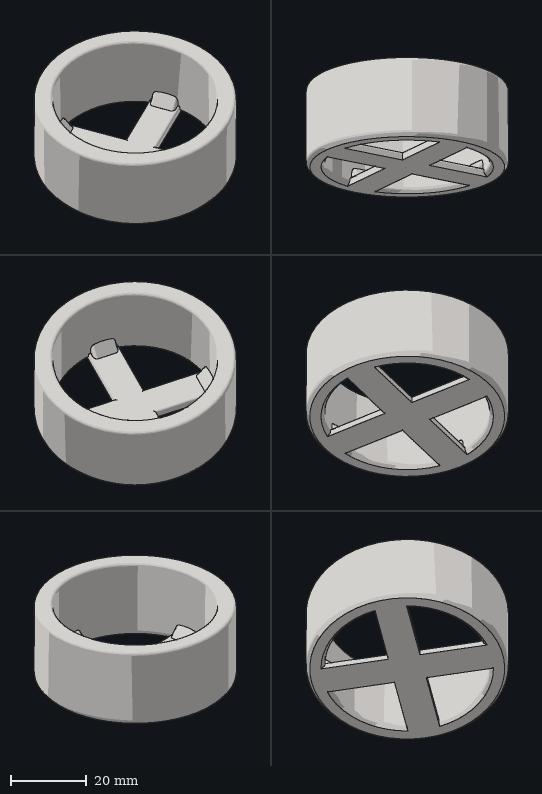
import cadquery as cq

outer_diameter = 53.5
inner_diameter = 43.5
ring_height = 22.0
edge_radius = 1.0
bottom_chamfer = 1.0

bar_width = 8.55
bar_thickness = 2.25
bar_edge_radius = 0.7

stop_width = bar_width - 2 * bar_edge_radius
stop_toe_radius = 18.8
stop_edge_radius = 1.0

outer_radius = outer_diameter / 2
inner_radius = inner_diameter / 2
anchor_radius = (outer_radius + inner_radius) / 2


def make_ring():
    """Ring with rounded top edges and softened chamfers around both bottom edges."""
    body = cq.Workplane("XY").circle(outer_radius).circle(inner_radius).extrude(ring_height)
    body = body.faces("<Z").edges().chamfer(bottom_chamfer)
    chamfer_tops = cq.selectors.BoxSelector(
        (-outer_diameter, -outer_diameter, bottom_chamfer / 2),
        (outer_diameter, outer_diameter, ring_height / 4),
    )
    body = body.edges("%CIRCLE").edges(chamfer_tops).fillet(edge_radius)
    return body.faces(">Z").edges().fillet(edge_radius)


def make_cross():
    """Two crossed flat bars with rounded upper edges."""
    bar_length = 2 * anchor_radius
    bar = cq.Workplane("XY").box(bar_length, bar_width, bar_thickness, centered=(True, True, False))
    cross = bar.union(bar.rotate((0, 0, 0), (0, 0, 1), 90)).clean()
    cross = cross.faces(">Z").edges().fillet(bar_edge_radius)
    limit = cq.Workplane("XY").circle(inner_radius + bottom_chamfer).extrude(bar_thickness)
    return cross.intersect(limit)


def make_stop():
    """45 degree wedge on the +X bar, with both edges of its slope rounded."""
    reach = anchor_radius - stop_toe_radius
    wedge = (
        cq.Workplane("XZ")
        .moveTo(stop_toe_radius, 0)
        .lineTo(stop_toe_radius, bar_thickness)
        .lineTo(anchor_radius, bar_thickness + reach)
        .lineTo(anchor_radius, 0)
        .close()
        .extrude(stop_width / 2, both=True)
    )
    slope_direction = cq.Vector(1, 0, 1)
    slope_edges = cq.selectors.ParallelDirSelector(slope_direction)
    wedge = wedge.edges(slope_edges).fillet(stop_edge_radius)
    above_bar = cq.Workplane("XY").box(
        outer_diameter, outer_diameter, ring_height, centered=(True, True, False)
    )
    return wedge.intersect(above_bar.translate((0, 0, bar_thickness)))


result = make_ring().union(make_cross())
stop = make_stop()
for quarter_turn in range(4):
    result = result.union(stop.rotate((0, 0, 0), (0, 0, 1), 90 * quarter_turn))